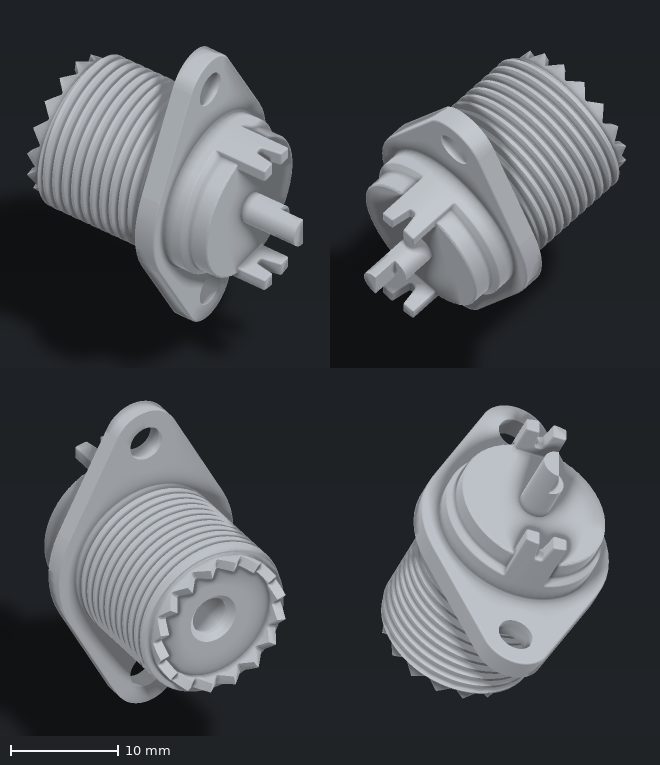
import cadquery as cq
import math


flange_height = 32.4
flange_mid_radius = 9.5
flange_tip_radius = 3.5
flange_front_x = 13.95
flange_back_x = 16.05
mount_hole_radius = 1.72
mount_hole_z = flange_height / 2 - flange_tip_radius

rim_radius = 6.93
rim_bore_radius = 6.0
tooth_count = 16
tooth_depth = 1.17
tooth_root_width = 0.2
tooth_cut_overrun = 0.65

barrel_front_x = 1.75
barrel_radius = 7.78
crest_chamfer = 0.1
thread_turns = 12
thread_run = 12.7
thread_end_x = 13.55
thread_end_angle = 39.0
thread_depth = 0.55
thread_root_width = 0.13
thread_flank_angle = 30.0
thread_pitch = thread_run / thread_turns

small_round = 0.2

select_margin = 0.03

boss_radius = 7.87
insulator_radius = 7.25
boss_shoulder_x = 17.98
insulator_back_x = 20.5

tab_back_x = 23.55
tab_width = 4.05
tab_inner_z = 6.3
tab_notch_x = 21.48
tab_notch_root_width = 0.7
tab_notch_mouth_width = 1.43
tab_notch_round = 0.25

pin_radius = 1.52
pin_back_x = 26.5
pin_step_x = 23.95

face_x = 1.78
socket_mouth_radius = 2.45
socket_radius = 1.88
socket_depth = 12.95
socket_tip_depth = 0.97


def cylinder(radius, x_start, x_end):
    return cq.Workplane("YZ", origin=(x_start, 0, 0)).circle(radius).extrude(x_end - x_start)


def make_flange():
    sin_a = (flange_mid_radius - flange_tip_radius) / mount_hole_z
    cos_a = math.sqrt(1 - sin_a**2)
    mid_y = flange_mid_radius * cos_a
    mid_z = flange_mid_radius * sin_a
    tip_y = flange_tip_radius * cos_a
    tip_z = mount_hole_z + flange_tip_radius * sin_a
    plate = (
        cq.Workplane("YZ", origin=(flange_front_x, 0, 0))
        .moveTo(mid_y, -mid_z)
        .threePointArc((flange_mid_radius, 0), (mid_y, mid_z))
        .lineTo(tip_y, tip_z)
        .threePointArc((0, flange_height / 2), (-tip_y, tip_z))
        .lineTo(-mid_y, mid_z)
        .threePointArc((-flange_mid_radius, 0), (-mid_y, -mid_z))
        .lineTo(-tip_y, -tip_z)
        .threePointArc((0, -flange_height / 2), (tip_y, -tip_z))
        .close()
        .extrude(flange_back_x - flange_front_x)
        .faces(">X")
        .edges()
        .fillet(small_round)
    )
    holes = (
        cq.Workplane("YZ", origin=(flange_front_x, 0, 0))
        .pushPoints([(0, mount_hole_z), (0, -mount_hole_z)])
        .circle(mount_hole_radius)
        .extrude(flange_back_x - flange_front_x)
    )
    return plate.cut(holes)


def circles_at(x, radius):
    """Selects the circular edges of one radius around the X axis at one position."""
    half_box = radius + select_margin
    return cq.selectors.BoxSelector(
        (x - select_margin, -half_box, -half_box),
        (x + select_margin, half_box, half_box),
        boundingbox=True,
    )


def make_barrel():
    barrel = cylinder(barrel_radius, barrel_front_x, flange_front_x)
    barrel = barrel.faces("<X").edges().chamfer(crest_chamfer)
    barrel = barrel.union(cylinder(rim_radius, 0, barrel_front_x))
    barrel = barrel.edges(circles_at(barrel_front_x, rim_radius)).fillet(small_round)
    barrel = barrel.cut(cylinder(rim_bore_radius, 0, face_x))
    return cut_teeth(barrel).cut(make_thread_groove())


def make_thread_groove():
    root_radius = barrel_radius - thread_depth
    mouth_radius = barrel_radius + crest_chamfer
    root_half = thread_root_width / 2
    mouth_half = root_half + (mouth_radius - root_radius) * math.tan(math.radians(thread_flank_angle))
    helix = cq.Wire.makeHelix(thread_pitch, thread_run, root_radius)
    groove = (
        cq.Workplane("XZ")
        .polyline(
            [
                (root_radius, -root_half),
                (mouth_radius, -mouth_half),
                (mouth_radius, mouth_half),
                (root_radius, root_half),
            ]
        )
        .close()
        .sweep(cq.Workplane(obj=helix), isFrenet=True)
    )
    return (
        groove.rotate((0, 0, 0), (0, 1, 0), 90)
        .rotate((0, 0, 0), (1, 0, 0), 180 + thread_end_angle)
        .translate((thread_end_x - thread_run, 0, 0))
    )


def cut_teeth(barrel):
    inner_radius = rim_bore_radius - tooth_cut_overrun
    outer_radius = rim_radius + tooth_cut_overrun
    half_root = tooth_root_width / 2

    def notch_section(radius):
        half_mouth = radius * math.tan(math.pi / tooth_count)
        return [(0, -half_mouth), (0, half_mouth), (tooth_depth, half_root), (tooth_depth, -half_root)]

    notch = (
        cq.Workplane("XY", origin=(0, 0, inner_radius))
        .polyline(notch_section(inner_radius))
        .close()
        .workplane(offset=outer_radius - inner_radius)
        .polyline(notch_section(outer_radius))
        .close()
        .loft(ruled=True)
    )
    for i in range(tooth_count):
        barrel = barrel.cut(notch.rotate((0, 0, 0), (1, 0, 0), i * 360 / tooth_count))
    return barrel


def make_boss():
    shoulder_drop = boss_radius - insulator_radius
    shoulder_end_x = boss_shoulder_x + shoulder_drop
    return (
        cq.Workplane("XY")
        .moveTo(flange_back_x, 0)
        .lineTo(flange_back_x, boss_radius)
        .lineTo(boss_shoulder_x, boss_radius)
        .lineTo(shoulder_end_x, insulator_radius)
        .lineTo(insulator_back_x, insulator_radius)
        .lineTo(insulator_back_x, 0)
        .close()
        .revolve(360, (0, 0, 0), (1, 0, 0))
    )


def make_tab():
    tab = cylinder(boss_radius, flange_back_x, tab_back_x).intersect(
        cq.Workplane("XY", origin=(0, 0, tab_inner_z))
        .rect(2 * tab_back_x, tab_width)
        .extrude(boss_radius)
    )
    notch = (
        cq.Workplane("XY", origin=(0, 0, tab_inner_z))
        .polyline(
            [
                (tab_notch_x, -tab_notch_root_width / 2),
                (tab_back_x, -tab_notch_mouth_width / 2),
                (tab_back_x, tab_notch_mouth_width / 2),
                (tab_notch_x, tab_notch_root_width / 2),
            ]
        )
        .close()
        .extrude(boss_radius)
        .edges("|Z and <X")
        .fillet(tab_notch_round)
    )
    return tab.cut(notch)


def make_rear():
    tab = make_tab()
    rear = make_boss().union(tab).union(tab.rotate((0, 0, 0), (1, 0, 0), 180))
    return rear.clean().edges("not(<X)").fillet(small_round)


def make_pin():
    pin = cylinder(pin_radius, insulator_back_x, pin_back_x)
    return pin.cut(
        cq.Workplane("XY")
        .box(pin_back_x - pin_step_x, pin_radius, 2 * pin_radius, centered=(False, False, True))
        .translate((pin_step_x, 0, 0))
    )


def make_socket():
    mouth_depth = socket_mouth_radius - socket_radius
    return (
        cq.Workplane("XY", origin=(face_x, 0, 0))
        .polyline(
            [
                (0, 0),
                (0, socket_mouth_radius),
                (mouth_depth, socket_radius),
                (socket_depth, socket_radius),
                (socket_depth + socket_tip_depth, 0),
            ]
        )
        .close()
        .revolve(360, (0, 0, 0), (1, 0, 0))
    )


body = make_flange().union(make_rear())
body = body.edges(circles_at(flange_back_x, boss_radius)).fillet(small_round)
result = body.union(make_barrel()).union(make_pin()).cut(make_socket())